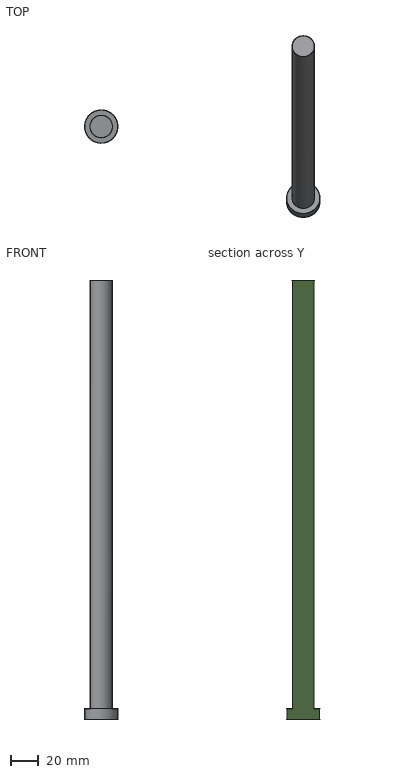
import cadquery as cq

total_length = 315.0
head_diameter = 24.0
head_height = 8.0
shank_diameter = 16.0
shank_length = total_length - head_height

head = cq.Workplane("XY").circle(head_diameter / 2).extrude(head_height)

result = head.faces(">Z").workplane().circle(shank_diameter / 2).extrude(shank_length)